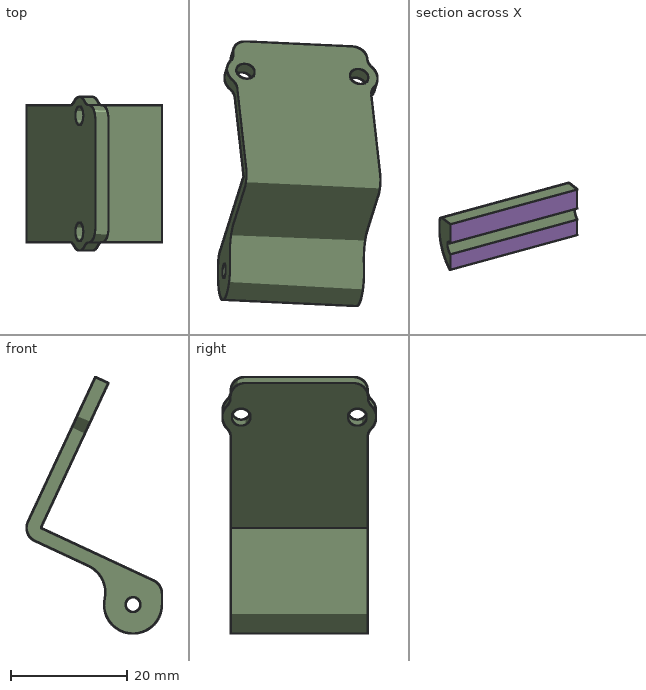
import cadquery as cq
import math


tilt = 25.0
thickness = 2.5
body_width = 23.6
bend_x = -15.84
bend_z = 13.21

barrel_radius = 5.0
bore_diameter = 2.5
nose_radius = 2.5
web_radius = 5.0

plate_length = 27.5
plate_corner_radius = 2.5
hole_diameter = 3.2
hole_spacing = 20.0
hole_end_distance = 6.5
ear_radius = 3.25
ear_blend_radius = 2.5

half_width = body_width / 2
hole_y = hole_spacing / 2
hole_height = plate_length - hole_end_distance
cos_tilt = math.cos(math.radians(tilt))
sin_tilt = math.sin(math.radians(tilt))
HALF_ROOT = math.sqrt(0.5)


def arm_point(along, above):
    """XZ point measured along the arm and square to it, from the barrel axis."""
    return (along * cos_tilt + above * sin_tilt, above * cos_tilt - along * sin_tilt)


def toward(start, end, distance):
    """Point at the given distance from start on the way to end."""
    ratio = distance / math.dist(start, end)
    return tuple(a + (b - a) * ratio for a, b in zip(start, end))


def make_arm():
    """Bend, arm and barrel, extruded across the body width."""
    bend_along = bend_x * cos_tilt - bend_z * sin_tilt
    arm_top = bend_x * sin_tilt + bend_z * cos_tilt
    arm_bottom = arm_top - thickness
    bend_reach = thickness * HALF_ROOT

    web_above = arm_bottom - web_radius
    web_along = -math.sqrt((barrel_radius + web_radius) ** 2 - web_above ** 2)
    web_center = arm_point(web_along, web_above)
    web_start = arm_point(web_along, arm_bottom)
    web_end = toward((0, 0), web_center, barrel_radius)
    web_chord_middle = tuple((a + b) / 2 for a, b in zip(web_start, web_end))
    web_middle = toward(web_center, web_chord_middle, web_radius)

    nose_center_x = barrel_radius - nose_radius
    nose_center_z = (arm_top - nose_radius - nose_center_x * sin_tilt) / cos_tilt
    nose_center = (nose_center_x, nose_center_z)
    nose_start = (nose_center_x + nose_radius * sin_tilt, nose_center_z + nose_radius * cos_tilt)
    nose_end = (barrel_radius, nose_center_z)
    nose_corner = (barrel_radius, (arm_top - barrel_radius * sin_tilt) / cos_tilt)
    nose_middle = toward(nose_center, nose_corner, nose_radius)

    profile = (
        cq.Workplane("XZ", origin=(0, half_width, 0))
        .moveTo(bend_x, bend_z)
        .lineTo(*nose_start)
        .threePointArc(nose_middle, nose_end)
        .lineTo(barrel_radius, 0)
        .threePointArc((0, -barrel_radius), web_end)
        .threePointArc(web_middle, web_start)
        .lineTo(*arm_point(bend_along, arm_bottom))
        .threePointArc(
            arm_point(bend_along - bend_reach, arm_top - bend_reach),
            arm_point(bend_along - thickness, arm_top),
        )
        .close()
    )
    return profile.extrude(body_width)


def make_ear(plane, side):
    """Screw ear on one side of the plate (side is +1 or -1), blended into the edge."""
    blend_x = half_width + ear_blend_radius
    center_distance = ear_radius + ear_blend_radius
    blend_rise = math.sqrt(center_distance ** 2 - (blend_x - hole_y) ** 2)
    ear_center = (hole_y, 0)

    def blend_points(direction):
        """Plate-side end, middle and ear end of the blend above or below the hole."""
        center = (blend_x, direction * blend_rise)
        on_side = (half_width, direction * blend_rise)
        on_ear = toward(ear_center, center, ear_radius)
        chord_middle = tuple((a + b) / 2 for a, b in zip(on_side, on_ear))
        return on_side, toward(center, chord_middle, ear_blend_radius), on_ear

    def place(point):
        """Move a point from the ear's own frame onto the plate."""
        return (side * point[0], hole_height + point[1])

    lower_side, lower_middle, lower_ear = blend_points(-1)
    upper_side, upper_middle, upper_ear = blend_points(1)
    return (
        cq.Workplane(plane)
        .moveTo(*place((hole_y, -blend_rise)))
        .lineTo(*place(lower_side))
        .threePointArc(place(lower_middle), place(lower_ear))
        .threePointArc(place((hole_y + ear_radius, 0)), place(upper_ear))
        .threePointArc(place(upper_middle), place(upper_side))
        .lineTo(*place((hole_y, blend_rise)))
        .close()
        .extrude(thickness)
    )


def make_plate():
    """Mounting plate with rounded free corners, two ears and two screw holes."""
    plane = cq.Plane(
        origin=(bend_x, 0, bend_z),
        xDir=(0, -1, 0),
        normal=(-cos_tilt, 0, sin_tilt),
    )
    shoulder = plate_length - plate_corner_radius
    corner_x = half_width - plate_corner_radius
    corner_reach = plate_corner_radius * HALF_ROOT
    plate = (
        cq.Workplane(plane)
        .moveTo(-half_width, 0)
        .lineTo(half_width, 0)
        .lineTo(half_width, shoulder)
        .threePointArc((corner_x + corner_reach, shoulder + corner_reach), (corner_x, plate_length))
        .lineTo(-corner_x, plate_length)
        .threePointArc((-corner_x - corner_reach, shoulder + corner_reach), (-half_width, shoulder))
        .close()
        .extrude(thickness)
    )
    for side in (-1, 1):
        plate = plate.union(make_ear(plane, side))
    holes = (
        cq.Workplane(plane)
        .pushPoints([(-hole_y, hole_height), (hole_y, hole_height)])
        .circle(hole_diameter / 2)
        .extrude(thickness)
    )
    return plate.cut(holes)


def make_bore():
    """Pivot bore through the full length of the barrel."""
    return cq.Workplane("XZ", origin=(0, half_width, 0)).circle(bore_diameter / 2).extrude(body_width)


result = make_arm().union(make_plate()).cut(make_bore()).clean()